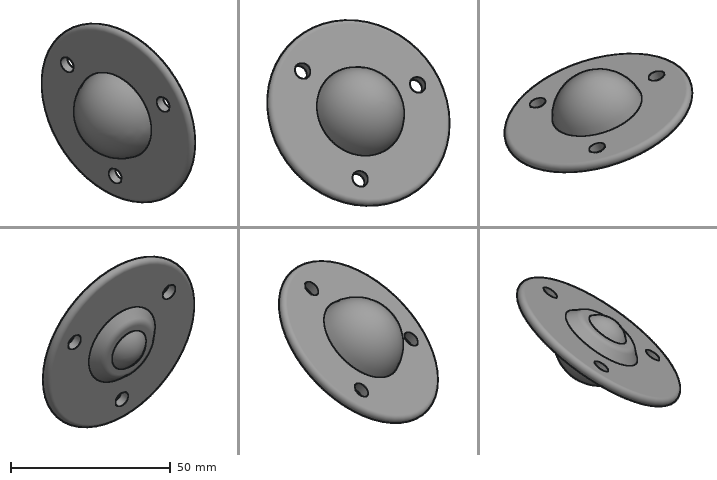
import cadquery as cq
import math

flange_radius = 30.5
flange_thickness = 3.3

hole_diameter = 5.1
hole_circle_radius = 22.25
hole_count = 3
first_hole_angle = 30.0

dome_base_radius = 14.6
dome_height = 11.95

collar_base_radius = 13.55
collar_height = 3.5
collar_round = 2.7

cap_base_radius = 6.95
overall_depth = 22.0

collar_top = flange_thickness + collar_height
collar_top_radius = collar_base_radius - collar_height
cap_tip = overall_depth - dome_height


def arc_midpoint(base_radius, height, base_y, direction):
    """Point halfway along a spherical cap profile, from its rim to its tip."""
    sphere_radius = (base_radius**2 + height**2) / (2 * height)
    half_angle = math.atan2(height, base_radius)
    sphere_center_y = base_y + direction * (height - sphere_radius)
    return (
        sphere_radius * math.sin(half_angle),
        sphere_center_y + direction * sphere_radius * math.cos(half_angle),
    )


def spherical_cap(base_radius, height, base_y, direction):
    """Cap on the Y axis, bulging along direction (+1 or -1) from base_y."""
    return (
        cq.Workplane("XY")
        .moveTo(0, base_y)
        .lineTo(base_radius, base_y)
        .threePointArc(
            arc_midpoint(base_radius, height, base_y, direction),
            (0, base_y + direction * height),
        )
        .close()
        .revolve(360, (0, 0), (0, 1))
    )


def flange():
    """Disc with a full-round rim."""
    rim_radius = flange_thickness / 2
    face_radius = flange_radius - rim_radius
    return (
        cq.Workplane("XY")
        .lineTo(face_radius, 0)
        .threePointArc((flange_radius, rim_radius), (face_radius, flange_thickness))
        .lineTo(0, flange_thickness)
        .close()
        .revolve(360, (0, 0), (0, 1))
    )


def collar():
    """Truncated cone with a rounded top edge."""
    return (
        cq.Workplane("XY")
        .moveTo(0, flange_thickness)
        .lineTo(collar_base_radius, flange_thickness)
        .lineTo(collar_top_radius, collar_top)
        .lineTo(0, collar_top)
        .close()
        .revolve(360, (0, 0), (0, 1))
        .faces(">Y")
        .edges()
        .fillet(collar_round)
    )


def mounting_holes():
    """Cylinders through the flange, evenly spaced around its axis."""
    return (
        cq.Workplane("XZ")
        .polarArray(hole_circle_radius, first_hole_angle, 360, hole_count)
        .circle(hole_diameter / 2)
        .extrude(-flange_thickness)
    )


dome = spherical_cap(dome_base_radius, dome_height, 0, -1)
ball_cap = spherical_cap(cap_base_radius, cap_tip - collar_top, collar_top, 1)

result = flange().cut(mounting_holes()).union(dome).union(collar()).union(ball_cap)